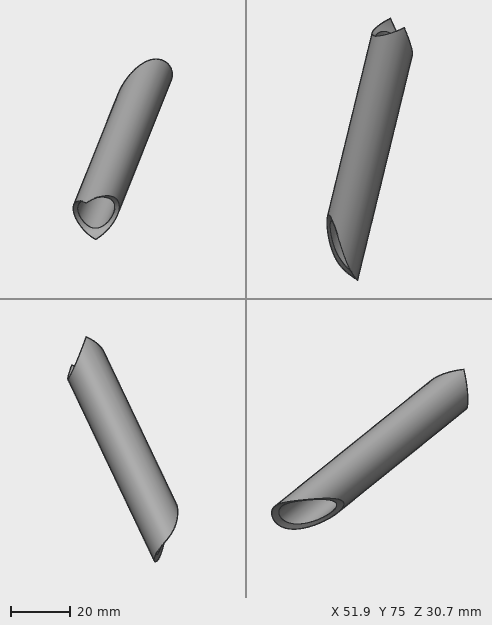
import cadquery as cq
import math

tube_radius = 7.5
bore_radius = 6.0
rise_angle = 19.4
miter_angle = 37.1
saddle_radius = 13.15
saddle_offset = 60.5
cutter_length = 300.35


def rod(center, direction, radius, length):
    """Solid cylinder centered on a point and running along a direction."""
    start = center - direction.normalized() * (length / 2)
    return cq.Workplane(obj=cq.Solid.makeCylinder(radius, length, start, direction))


origin = cq.Vector(0, 0, 0)
along_y = cq.Vector(0, 1, 0)
rise = math.radians(rise_angle)
miter = math.radians(miter_angle)
downhill = cq.Vector(-math.cos(rise), 0, -math.sin(rise))
tube_axis = downhill * math.sin(miter) + along_y * math.cos(miter)
mirrored_axis = downhill * -math.sin(miter) + along_y * math.cos(miter)

saddle_center = downhill * saddle_offset
tube_length = saddle_offset / math.sin(miter) + 4 * tube_radius
tube_start = tube_axis * (-2 * tube_radius)
tube_center = tube_start + tube_axis * (tube_length / 2)
tube = rod(tube_center, tube_axis, tube_radius, tube_length)
tube = tube.cut(rod(tube_center, tube_axis, bore_radius, cutter_length))

tube = tube.cut(rod(origin, mirrored_axis, tube_radius, cutter_length))

tube = tube.cut(rod(saddle_center, along_y, saddle_radius, cutter_length))

result = cq.Workplane(obj=max(tube.solids().vals(), key=lambda piece: piece.Volume()))